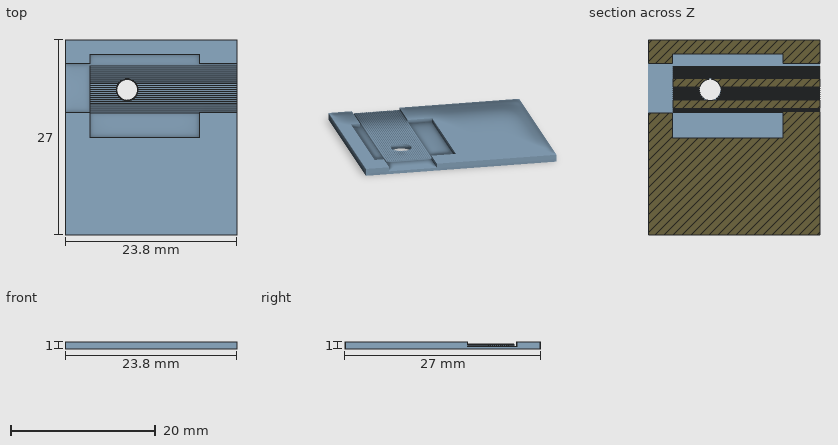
import cadquery as cq
import math

plate_width = 23.76
plate_length = 27.0
plate_thickness = 1.0

floor_height = 0.4
channel_front = plate_length - 10.05
channel_back = plate_length - 3.3
pocket_left = 3.4
pocket_right = 18.55
pocket_front = plate_length - 13.5
pocket_back = plate_length - 2.0

rod_count = 24
rod_pitch = 0.27
rod_diameter = 0.3
rod_left = pocket_left
rod_sink = 0.002
row_overlap = 0.08

hole_diameter = 2.89
hole_x = 8.55
hole_y = plate_length - 6.91


def floor_cut(x_start, x_end, y_start, y_end):
    """Rectangular cutter reaching from the top face down to the channel floor."""
    size = (x_end - x_start, y_end - y_start, plate_thickness - floor_height)
    return cq.Workplane("XY", origin=(x_start, y_start, floor_height)).box(*size, centered=False)


def rod_row():
    """Fused row of rods: one scalloped outline extruded to the plate's right edge."""
    radius = rod_diameter / 2
    half_pitch = rod_pitch / 2
    waist = math.sqrt(radius**2 - half_pitch**2)
    row_length = (rod_count - 1) * rod_pitch
    inner_centers = [index * rod_pitch for index in range(1, rod_count - 1)]

    center_y = channel_front - row_overlap + radius
    center_z = floor_height - rod_sink + radius
    outline = cq.Workplane("YZ", origin=(rod_left, center_y, center_z)).moveTo(half_pitch, -waist)
    outline = outline.threePointArc((-radius, 0), (half_pitch, waist))
    for center in inner_centers:
        outline = outline.threePointArc((center, radius), (center + half_pitch, waist))
    outline = outline.threePointArc((row_length + radius, 0), (row_length - half_pitch, -waist))
    for center in reversed(inner_centers):
        outline = outline.threePointArc((center, -radius), (center - half_pitch, -waist))
    return outline.close().extrude(plate_width - rod_left)


plate = cq.Workplane("XY").box(plate_width, plate_length, plate_thickness, centered=False)
channel = floor_cut(0, plate_width, channel_front, channel_back)
pocket = floor_cut(pocket_left, pocket_right, pocket_front, pocket_back)
hole = cq.Workplane("XY").center(hole_x, hole_y).circle(hole_diameter / 2).extrude(plate_thickness)
part = plate.cut(channel).cut(pocket).union(rod_row()).cut(hole)
result = part.solids()